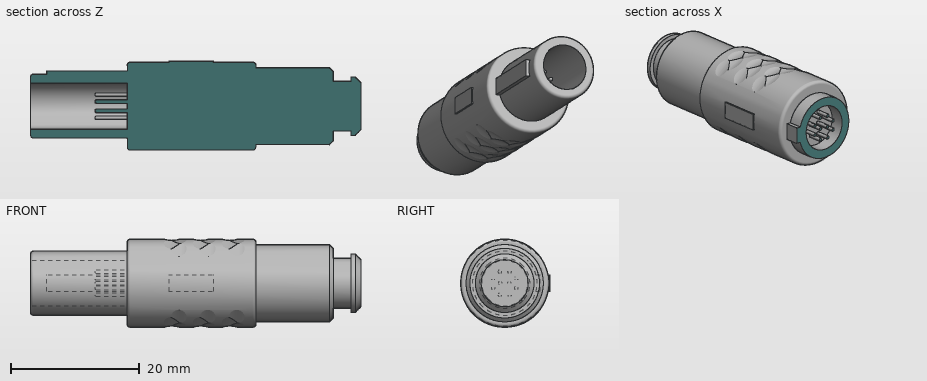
import cadquery as cq
import math

plug_radius = 5.0
plug_end = 15.0
collar_radius = 6.85
collar_end = 35.0
body_radius = 6.0
body_end = 47.0
neck_radius = 3.9
neck_end = 49.7
flange_radius = 4.55
total_length = 51.3
edge_fillet = 0.5
body_chamfer = 0.6
flange_chamfer = 0.9

key_start = 2.5
key_width = 2.6
key_top = 5.5

pad_start = 21.5
pad_length = 6.9
pad_width = 2.6
pad_top = 7.0

bore_radius = 3.55
bore_depth = 15.0
pin_radius = 0.28
pin_length = 5.0
pin_circle_radius = 1.95
outer_pin_count = 8
inner_pin_offset = 0.7

band_count = 3
band_pitch = 4.5
first_band_x = 23.05
stagger_x = 1.1
dent_pitch_angle = 26.0
dent_half_angle = 13.5
dent_half_width = 1.22
dent_depth = collar_radius * (1 - math.cos(math.radians(dent_half_angle)))
cutter_radius = (dent_half_width**2 + dent_depth**2) / (2 * dent_depth)
cutter_length = collar_radius
wide_row_angles = [dent_pitch_angle * step for step in (-1.5, -0.5, 0.5, 1.5)]
narrow_row_angles = [dent_pitch_angle * step for step in (-1, 0, 1)]


def cylinder(start, end, radius):
    """Solid cylinder on the X axis between two X positions."""
    return cq.Workplane("YZ").workplane(offset=start).circle(radius).extrude(end - start)


def block(start, length, width, top):
    """Box from the X axis out to Y = top, centred on Z = 0."""
    return cq.Workplane("XY").box(length, top, width, centered=(False, False, True)).translate((start, 0, 0))


def make_shell():
    plug = cylinder(0, plug_end, plug_radius).faces("<X").edges().fillet(edge_fillet)
    collar = cylinder(plug_end, collar_end, collar_radius).edges().fillet(edge_fillet)
    body = cylinder(collar_end, body_end, body_radius).faces(">X").edges().chamfer(body_chamfer)
    neck = cylinder(body_end, neck_end, neck_radius)
    flange = cylinder(neck_end, total_length, flange_radius).faces(">X").edges().chamfer(flange_chamfer)
    return plug.union(collar).union(body).union(neck).union(flange)


def dent_cutter(x, angle):
    """Cylinder lying tangent to the collar, tilted by angle about X from +Z."""
    axis_height = collar_radius - dent_depth + cutter_radius
    cutter = (
        cq.Workplane("XZ")
        .center(x, axis_height)
        .circle(cutter_radius)
        .extrude(cutter_length / 2, both=True)
    )
    slab = cq.Workplane("XY").box(
        2 * dent_half_width, cutter_length, 2 * dent_depth
    ).translate((x, 0, collar_radius))
    return cutter.intersect(slab).rotate((0, 0, 0), (1, 0, 0), angle)


def cut_grip(part):
    for side_angle in (0, 180):
        for band in range(band_count):
            wide_x = first_band_x + band * band_pitch
            rows = ((wide_x, wide_row_angles), (wide_x - stagger_x, narrow_row_angles))
            for x, angles in rows:
                for angle in angles:
                    part = part.cut(dent_cutter(x, side_angle + angle))
    return part


def make_pins():
    points = [(-inner_pin_offset, 0), (inner_pin_offset, 0)]
    for index in range(outer_pin_count):
        angle = 2 * math.pi * (index + 0.5) / outer_pin_count
        points.append((pin_circle_radius * math.cos(angle), pin_circle_radius * math.sin(angle)))
    shanks = cq.Workplane("YZ").workplane(offset=bore_depth).pushPoints(points)
    pins = shanks.circle(pin_radius).extrude(pin_radius - pin_length)
    tip_x = bore_depth + pin_radius - pin_length
    for y, z in points:
        pins = pins.union(cq.Workplane("XY").sphere(pin_radius).translate((tip_x, y, z)))
    return pins


shell = cut_grip(make_shell())
shell = shell.union(block(key_start, plug_end - key_start, key_width, key_top))
shell = shell.union(block(pad_start, pad_length, pad_width, pad_top))
shell = shell.cut(cylinder(0, bore_depth, bore_radius))
result = shell.union(make_pins())